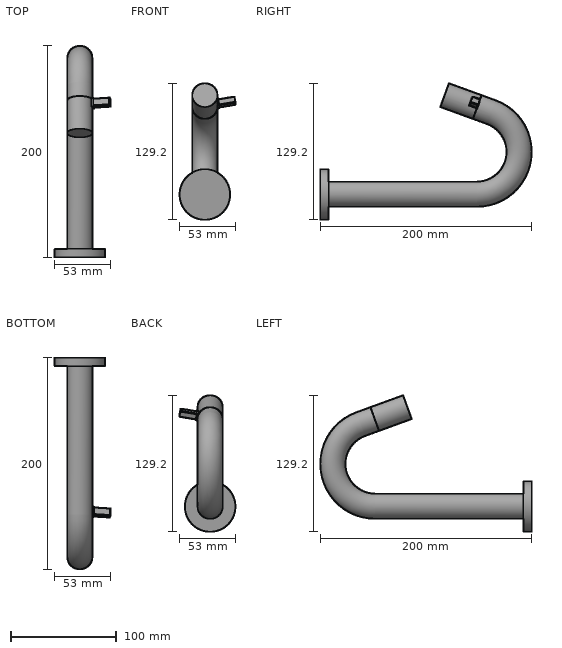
import cadquery as cq
import math

flange_diameter = 48.0
flange_thickness = 8.0
flange_rim_fillet = 1.0

tube_diameter = 24.0
tube_rise = 0.3
bend_radius = 40.0
bend_start = 148.0
outlet_tilt = 20.0
collar_length = 14.0
cap_length = 33.0

joint_width = 0.2
joint_depth = 0.2

lever_roll = 10.0
lever_offset = 3.8
lever_width = 7.8
lever_height = 6.5
lever_chamfer = 0.8
lever_reach = 29.0
neck_margin = 0.3
neck_reach = 13.5
root_radius = 6.0


def make_flange():
    """Round disc with its front rim rounded."""
    disc = cq.Workplane("XZ").circle(flange_diameter / 2).extrude(-flange_thickness)
    return disc.faces(">Y").edges().fillet(flange_rim_fillet)


def make_tube():
    """Straight run out from the wall, followed by the returning bend."""
    straight = (
        cq.Workplane("XZ", origin=(0, 0, tube_rise))
        .circle(tube_diameter / 2)
        .extrude(-bend_start)
    )
    bend = (
        cq.Workplane("XZ", origin=(0, bend_start, tube_rise))
        .circle(tube_diameter / 2)
        .revolve(180 - outlet_tilt, (0, bend_radius, 0), (1, bend_radius, 0))
    )
    return straight.union(bend)


tilt = math.radians(outlet_tilt)
outlet_direction = cq.Vector(0, -math.cos(tilt), math.sin(tilt))
outlet_start = cq.Vector(
    0,
    bend_start + bend_radius * math.sin(tilt),
    tube_rise + bend_radius + bend_radius * math.cos(tilt),
)


def make_outlet():
    """Collar and cap on the tilted axis, with the joint between them."""
    plane = cq.Plane(outlet_start, (1, 0, 0), outlet_direction)
    outlet = cq.Workplane(plane).circle(tube_diameter / 2).extrude(collar_length + cap_length)
    joint = (
        cq.Workplane(plane)
        .workplane(offset=collar_length)
        .circle(tube_diameter / 2 + joint_depth)
        .circle(tube_diameter / 2 - joint_depth)
        .extrude(joint_width)
    )
    return outlet.cut(joint)


def make_lever():
    """Chamfered bar with a slightly larger rectangular neck at the cap."""
    roll = math.radians(lever_roll)
    radial = cq.Vector(
        math.cos(roll),
        math.sin(roll) * math.sin(tilt),
        math.sin(roll) * math.cos(tilt),
    )
    centre = outlet_start + outlet_direction * (collar_length + lever_offset)
    plane = cq.Plane(centre + radial * root_radius, outlet_direction, radial)
    bar = (
        cq.Workplane(plane)
        .rect(lever_width, lever_height)
        .extrude(lever_reach - root_radius)
    )
    long_edges = cq.selectors.ParallelDirSelector(radial)
    tip_face = cq.selectors.DirectionMinMaxSelector(radial)
    tip_edges = bar.faces(tip_face).edges(cq.selectors.ParallelDirSelector(outlet_direction))
    bar = bar.edges(long_edges).add(tip_edges).chamfer(lever_chamfer)
    neck = (
        cq.Workplane(plane)
        .rect(lever_width + 2 * neck_margin, lever_height + 2 * neck_margin)
        .extrude(neck_reach - root_radius)
    )
    return bar.union(neck)


result = make_flange().union(make_tube()).union(make_outlet()).union(make_lever())